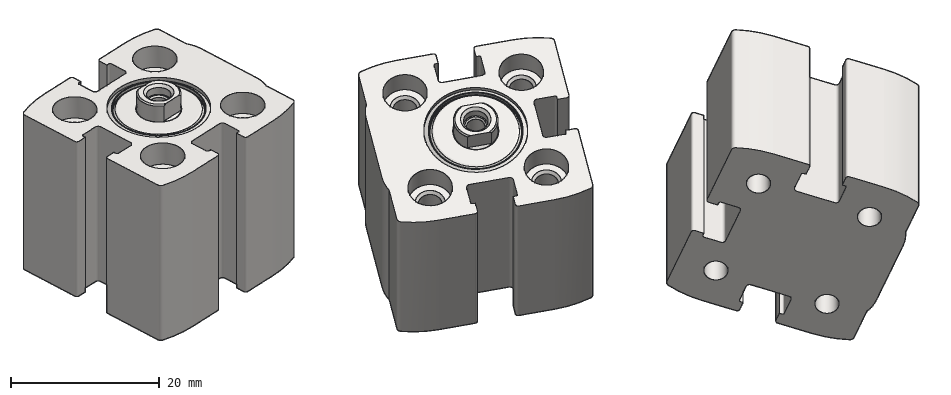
import cadquery as cq
import math

TOTAL_HEIGHT = 28.0
WIDTH = 27.0
HALF_WIDTH = WIDTH / 2
HOUSING_HEIGHT = 25.5

SIDE_FLAT_HALF = 8.0
SIDE_BOW_INSET = 0.95
CORNER_RADIUS = 0.62
PAD_HEIGHT = 0.5
PAD_FLAT_HALF = 5.05
PAD_BASE_HALF = 7.28

SLOT_MOUTH = 5.2
SLOT_WIDTH = 6.45
SLOT_FLOOR = 8.62
SLOT_LIP = 11.82
SLOT_FLOOR_RADIUS = 0.5
SLOT_LIP_RADIUS = 0.25
SLOT_MOUTH_RADIUS = 0.4

HOLE_PITCH = 16.02
HOLE_DIAMETER = 3.25
HOLE_COUNTERSINK_DIAMETER = 4.03
COUNTERBORE_DIAMETER = 6.0
COUNTERBORE_DEPTH = 3.5

RECESS_DIAMETER = 14.0
RECESS_SLOPE = 30.0
RIDGE_DIAMETER = 12.77
RIDGE_DEPTH = 0.2
GROOVE_DIAMETER = 12.52
GROOVE_DEPTH = 0.62
NOSE_DIAMETER = 12.32
NOSE_RIM_SLOPE = 40.0
NOSE_SHOULDER_DIAMETER = 11.75
NOSE_SHOULDER_SLOPE = 15.0
NOSE_FACE_DIAMETER = 11.25
NOSE_FACE_DEPTH = 0.22

ROD_DIAMETER = 6.0
ROD_LENGTH = 16.8
ROD_CHAMFER = 0.2
BORE_MOUTH_CHAMFER = 0.1
FLATS_WIDTH = 4.98
FLATS_LENGTH = 2.7
FLATS_RUNOUT_SLOPE = 30.0

SOCKET_DIAMETER = 3.3
SOCKET_MOUTH_DIAMETER = 4.1
SOCKET_DEPTH = 1.5
DRILL_MOUTH_DIAMETER = 2.9
DRILL_DIAMETER = 2.45
DRILL_DEPTH = 5.6
DRILL_TIP_ANGLE = 118.0


def turned(points):
    """Revolve a closed (radius, height) outline about the Z axis."""
    return cq.Workplane("XZ").polyline(points).close().revolve(360, (0, 0, 0), (0, 1, 0))


def housing_block():
    """Square block whose left and right sides curve inward toward rounded corners."""
    corner_x = HALF_WIDTH - SIDE_BOW_INSET
    run = HALF_WIDTH - SIDE_FLAT_HALF
    bow_radius = (run**2 + SIDE_BOW_INSET**2) / (2 * SIDE_BOW_INSET)
    quarter = (
        cq.Workplane("XY")
        .lineTo(HALF_WIDTH, 0)
        .lineTo(HALF_WIDTH, SIDE_FLAT_HALF)
        .radiusArc((corner_x, HALF_WIDTH), -bow_radius)
        .lineTo(0, HALF_WIDTH)
        .close()
        .extrude(HOUSING_HEIGHT)
        .edges(cq.selectors.NearestToPointSelector((corner_x, HALF_WIDTH, HOUSING_HEIGHT / 2)))
        .fillet(CORNER_RADIUS)
    )
    half = quarter.union(quarter.mirror("YZ"))
    return half.union(half.mirror("XZ")).clean()


def raised_pad():
    """Low strip on the +Y side: a flat crown whose rounded flanks run down to the block."""
    crown_y = HALF_WIDTH + PAD_HEIGHT
    run = PAD_BASE_HALF - PAD_FLAT_HALF
    flank_radius = (run**2 + PAD_HEIGHT**2) / (2 * PAD_HEIGHT)
    return (
        cq.Workplane("XY")
        .moveTo(PAD_BASE_HALF, SLOT_FLOOR)
        .lineTo(PAD_BASE_HALF, HALF_WIDTH)
        .radiusArc((PAD_FLAT_HALF, crown_y), -flank_radius)
        .lineTo(-PAD_FLAT_HALF, crown_y)
        .radiusArc((-PAD_BASE_HALF, HALF_WIDTH), -flank_radius)
        .lineTo(-PAD_BASE_HALF, SLOT_FLOOR)
        .close()
        .extrude(HOUSING_HEIGHT)
    )


def t_slot():
    """Cutter for one slot that opens on the +X side and runs the full height."""
    mouth_length = HALF_WIDTH - SLOT_FLOOR
    chamber = (
        cq.Workplane("XY")
        .center((SLOT_FLOOR + SLOT_LIP) / 2, 0)
        .rect(SLOT_LIP - SLOT_FLOOR, SLOT_WIDTH)
        .extrude(HOUSING_HEIGHT)
        .edges("|Z and <X")
        .fillet(SLOT_FLOOR_RADIUS)
        .edges("|Z and >X")
        .fillet(SLOT_LIP_RADIUS)
    )
    mouth = (
        cq.Workplane("XY")
        .center(SLOT_FLOOR + mouth_length / 2, 0)
        .rect(mouth_length, SLOT_MOUTH)
        .extrude(HOUSING_HEIGHT)
    )
    return chamber.union(mouth)


def round_slot_mouths(housing):
    """Round the outer edges of the three slot mouths."""
    half_mouth = SLOT_MOUTH / 2
    for x, y in [
        (HALF_WIDTH, half_mouth),
        (HALF_WIDTH, -half_mouth),
        (-HALF_WIDTH, half_mouth),
        (-HALF_WIDTH, -half_mouth),
        (half_mouth, -HALF_WIDTH),
        (-half_mouth, -HALF_WIDTH),
    ]:
        mouth_edge = cq.selectors.NearestToPointSelector((x, y, HOUSING_HEIGHT / 2))
        housing = housing.edges(mouth_edge).fillet(SLOT_MOUTH_RADIUS)
    return housing


def mounting_hole():
    """Cutter for one through hole with a counterbore and a 45 degree countersink below it."""
    bore_floor = HOUSING_HEIGHT - COUNTERBORE_DEPTH
    hole_r = HOLE_DIAMETER / 2
    countersink_r = HOLE_COUNTERSINK_DIAMETER / 2
    counterbore_r = COUNTERBORE_DIAMETER / 2
    return turned([
        (0, 0),
        (hole_r, 0),
        (hole_r, bore_floor - (countersink_r - hole_r)),
        (countersink_r, bore_floor),
        (counterbore_r, bore_floor),
        (counterbore_r, HOUSING_HEIGHT),
        (0, HOUSING_HEIGHT),
    ])


def cone_drop(outer_diameter, inner_diameter, slope):
    """Height lost by a cone of the given slope between two diameters."""
    return (outer_diameter - inner_diameter) / 2 * math.tan(math.radians(slope))


def rod_recess():
    """Cutter that leaves a double-cone bearing nose, a groove around it and a conical floor.

    It also cuts the blind bore that the rod fills, with a chamfered mouth.
    """
    top = HOUSING_HEIGHT
    bore_r = ROD_DIAMETER / 2
    bore_floor = TOTAL_HEIGHT - ROD_LENGTH
    nose_r = NOSE_DIAMETER / 2
    groove_r = GROOVE_DIAMETER / 2
    ridge_r = RIDGE_DIAMETER / 2
    recess_r = RECESS_DIAMETER / 2
    groove_z = top - GROOVE_DEPTH
    ridge_z = top - RIDGE_DEPTH
    face_z = top - NOSE_FACE_DEPTH
    shoulder_z = face_z - cone_drop(NOSE_SHOULDER_DIAMETER, NOSE_FACE_DIAMETER, NOSE_SHOULDER_SLOPE)
    rim_z = shoulder_z - cone_drop(NOSE_DIAMETER, NOSE_SHOULDER_DIAMETER, NOSE_RIM_SLOPE)
    return turned([
        (0, bore_floor),
        (bore_r, bore_floor),
        (bore_r, face_z - BORE_MOUTH_CHAMFER),
        (bore_r + BORE_MOUTH_CHAMFER, face_z),
        (NOSE_FACE_DIAMETER / 2, face_z),
        (NOSE_SHOULDER_DIAMETER / 2, shoulder_z),
        (nose_r, rim_z),
        (nose_r, groove_z),
        (groove_r, groove_z),
        (groove_r, ridge_z),
        (ridge_r, ridge_z),
        (recess_r, ridge_z - cone_drop(RECESS_DIAMETER, RIDGE_DIAMETER, RECESS_SLOPE)),
        (recess_r, top),
        (0, top),
    ])


def make_housing():
    housing = housing_block().union(raised_pad())
    slot = t_slot()
    for angle in (0, 180, 270):
        housing = housing.cut(slot.rotate((0, 0, 0), (0, 0, 1), angle))
    housing = round_slot_mouths(housing)
    hole = mounting_hole()
    for side_x in (-1, 1):
        for side_y in (-1, 1):
            center = (side_x * HOLE_PITCH / 2, side_y * HOLE_PITCH / 2, 0)
            housing = housing.cut(hole.translate(center))
    return housing.cut(rod_recess())


def wrench_flat():
    """Cutter for the flat on the +X side of the rod, ending in a sloping run-out."""
    flat_x = FLATS_WIDTH / 2
    rod_r = ROD_DIAMETER / 2
    flat_bottom = TOTAL_HEIGHT - FLATS_LENGTH
    runout = (rod_r - flat_x) * math.tan(math.radians(FLATS_RUNOUT_SLOPE))
    return (
        cq.Workplane("XZ")
        .polyline([
            (flat_x, flat_bottom),
            (rod_r, flat_bottom - runout),
            (rod_r, TOTAL_HEIGHT),
            (flat_x, TOTAL_HEIGHT),
        ])
        .close()
        .extrude(rod_r, both=True)
    )


def threaded_socket():
    """Cutter for the stepped blind hole in the rod end, with 45 degree countersinks and a drill tip."""
    socket_r = SOCKET_DIAMETER / 2
    mouth_r = SOCKET_MOUTH_DIAMETER / 2
    drill_r = DRILL_DIAMETER / 2
    drill_mouth_r = DRILL_MOUTH_DIAMETER / 2
    socket_floor = TOTAL_HEIGHT - SOCKET_DEPTH
    drill_floor = TOTAL_HEIGHT - DRILL_DEPTH
    tip_length = drill_r / math.tan(math.radians(DRILL_TIP_ANGLE / 2))
    return turned([
        (0, drill_floor - tip_length),
        (drill_r, drill_floor),
        (drill_r, socket_floor - (drill_mouth_r - drill_r)),
        (drill_mouth_r, socket_floor),
        (socket_r, socket_floor),
        (socket_r, TOTAL_HEIGHT - (mouth_r - socket_r)),
        (mouth_r, TOTAL_HEIGHT),
        (0, TOTAL_HEIGHT),
    ])


def make_rod():
    rod = (
        cq.Workplane("XY")
        .workplane(offset=TOTAL_HEIGHT - ROD_LENGTH)
        .circle(ROD_DIAMETER / 2)
        .extrude(ROD_LENGTH)
        .faces(">Z")
        .chamfer(ROD_CHAMFER)
    )
    flat = wrench_flat()
    rod = rod.cut(flat).cut(flat.mirror("YZ"))
    return rod.cut(threaded_socket())


housing = make_housing()
rod = make_rod()
result = cq.Compound.makeCompound([housing.val(), rod.val()])